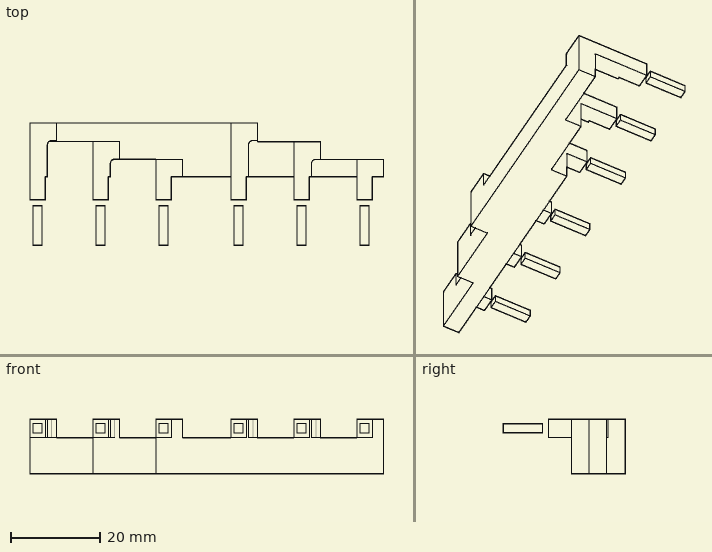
import cadquery as cq

row_depths = [4.2, 4.0, 4.0]
pitch = 14.1
row_height = 8.2

terminal_height = 4.1
foot_width = 6.0
foot_depth = 4.0
arm_width = 4.0
tip_width = 3.5
arm_reach = 17.3
inner_radius = 0.95
terminal_span = 45.05

pin_size = 2.1
pin_length = 8.9
pin_gap = 1.3

row_count = len(row_depths)
row_backs = [-sum(row_depths[:row]) for row in range(row_count)]
row_length = terminal_span + foot_width
block_front = -sum(row_depths)
arm_front = -arm_reach
terminal_starts = [
    (row, row * pitch + side * terminal_span)
    for row in range(row_count)
    for side in (0, 1)
]


def make_row(row):
    """Long bar whose back face meets the front face of the previous bar."""
    return (
        cq.Workplane("XY")
        .box(row_length, row_depths[row], row_height, centered=False)
        .translate((row * pitch, row_backs[row] - row_depths[row], 0))
    )


def make_terminal(row, start_x):
    """Raised L-shaped terminal lying on top of the block, narrowed at its tip."""
    back = row_backs[row]
    foot_front = back - foot_depth
    outline = (
        cq.Workplane("XY", origin=(start_x, 0, row_height))
        .moveTo(0, back)
        .lineTo(foot_width, back)
        .lineTo(foot_width, foot_front)
    )
    if row < row_count - 1:
        outline = (
            outline.lineTo(arm_width + inner_radius, foot_front)
            .radiusArc((arm_width, foot_front - inner_radius), -inner_radius)
            .lineTo(arm_width, block_front)
        )
    return (
        outline.lineTo(tip_width, block_front)
        .lineTo(tip_width, arm_front)
        .lineTo(0, arm_front)
        .close()
        .extrude(terminal_height)
    )


def make_busbar():
    """Stepped block of rows with all its raised terminals."""
    body = make_row(0)
    for row in range(1, row_count):
        body = body.union(make_row(row))
    for row, start_x in terminal_starts:
        body = body.union(make_terminal(row, start_x))
    return body


def make_pin(start_x):
    """Square pin centred on the arm tip, separated from it by a gap."""
    pin_x = start_x + (tip_width - pin_size) / 2
    pin_y = arm_front - pin_gap - pin_length
    pin_z = row_height + (terminal_height - pin_size) / 2
    return (
        cq.Workplane("XY")
        .box(pin_size, pin_length, pin_size, centered=False)
        .translate((pin_x, pin_y, pin_z))
    )


busbar = make_busbar()
pins = [make_pin(start_x) for _, start_x in terminal_starts]

result = cq.Compound.makeCompound([busbar.solids().val(), *[pin.val() for pin in pins]])